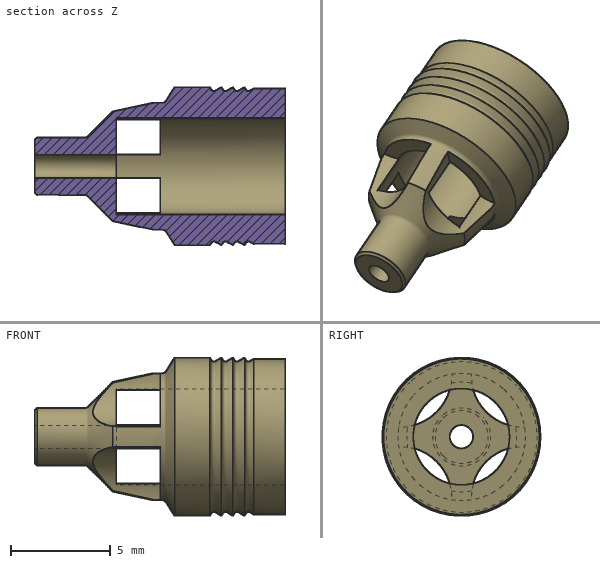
import cadquery as cq
import math

length = 12.61
nose_end = 2.62
window_start = 4.11
cage_cone_end = 5.98
window_end = 6.3
shoulder_start = 6.55
shoulder_end = 7.04
grooves_start = 8.81

through_hole_diameter = 1.16
nose_diameter = 2.91
bore_diameter = 4.84
strut_cone_diameter = 5.52
cage_diameter = 6.4
rim_diameter = 7.83
body_diameter = 7.97

nose_chamfer = 0.13
corner_fillet = 0.16

groove_count = 4
groove_pitch = 0.58
groove_front_angle = 60.0
groove_root_radius = 0.14

scallop_count = 4
scallop_radius = 2.59
scallop_nearest = 1.77

nose_radius = nose_diameter / 2
strut_cone_radius = strut_cone_diameter / 2
cage_radius = cage_diameter / 2
rim_radius = rim_diameter / 2
body_radius = body_diameter / 2
strut_cone_end = nose_end + strut_cone_radius - nose_radius

front_angle = math.radians(groove_front_angle)
groove_depth = groove_pitch * math.sin(front_angle) * math.cos(front_angle)
front_run = groove_depth / math.tan(front_angle)
rear_slope = math.tan(math.pi / 2 - front_angle)
grooves_end = grooves_start + groove_count * groove_pitch - (body_radius - rim_radius) / rear_slope


def circles_at(x):
    """Selector for the circular edges lying at station x."""
    tolerance = 0.006
    return cq.selectors.BoxSelector(
        (x - tolerance, -length, -length), (x + tolerance, length, length)
    )


def make_outer_body():
    """Revolve the outer outline about X, then chamfer the nose and round the concave corners."""
    outline = [
        (0, 0),
        (0, nose_radius),
        (nose_end, nose_radius),
        (strut_cone_end, strut_cone_radius),
        (cage_cone_end, cage_radius),
        (shoulder_start, cage_radius),
        (shoulder_end, body_radius),
    ]
    groove_roots = []
    for i in range(groove_count):
        crest = grooves_start + i * groove_pitch
        groove_roots.append(crest + front_run)
        outline.append((crest, body_radius))
        outline.append((crest + front_run, body_radius - groove_depth))
    outline += [(grooves_end, rim_radius), (length, rim_radius), (length, 0)]

    body = cq.Workplane("XY").polyline(outline).close().revolve(360, (0, 0, 0), (1, 0, 0))
    body = body.faces("<X").edges().chamfer(nose_chamfer)
    for x in (nose_end, shoulder_start):
        body = body.edges(circles_at(x)).fillet(corner_fillet)
    for x in groove_roots:
        body = body.edges(circles_at(x)).fillet(groove_root_radius)
    return body


def x_cylinder(diameter, start, end):
    """Cylinder on the X axis between two stations."""
    return cq.Workplane("YZ").workplane(offset=start).circle(diameter / 2).extrude(end - start)


def make_scallops():
    """Cylinders parallel to X, one on each diagonal, that leave four struts between them."""
    return (
        cq.Workplane("YZ")
        .workplane(offset=nose_end)
        .polarArray(scallop_nearest + scallop_radius, 45, 360, scallop_count)
        .circle(scallop_radius)
        .extrude(window_end - nose_end, combine=False)
    )


result = (
    make_outer_body()
    .cut(x_cylinder(through_hole_diameter, 0, length))
    .cut(x_cylinder(bore_diameter, window_start, length))
    .cut(make_scallops())
)